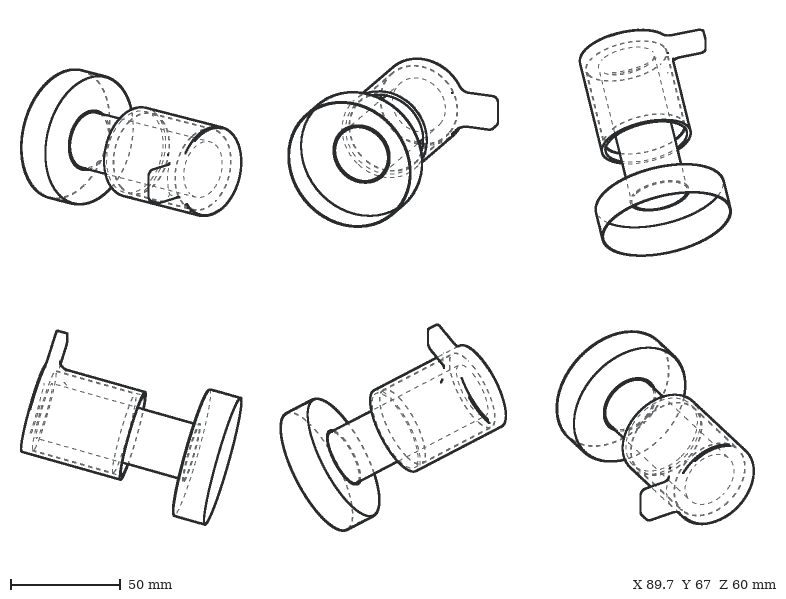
import cadquery as cq

TOTAL_LENGTH = 89.7

FLANGE_DIAMETER = 60.0
FLANGE_LENGTH = 15.0
FLANGE_CAVITY_DIAMETER = 59.2
FLANGE_WALL = (FLANGE_DIAMETER - FLANGE_CAVITY_DIAMETER) / 2
FLANGE_CAVITY_DEPTH = FLANGE_LENGTH - FLANGE_WALL
FLANGE_EDGE_RADIUS = 1.0
STEM_HOLE_DIAMETER = 27.45

KNOB_DIAMETER = 41.5
KNOB_LENGTH = 47.0
KNOB_BORE_DIAMETER = 38.0
KNOB_START = TOTAL_LENGTH - KNOB_LENGTH
KNOB_END_RADIUS = 0.5

LEVER_THICKNESS = 5.0
LEVER_WIDTH = 15.0
LEVER_REACH = 37.05
LEVER_CORNER_RADIUS = 3.0
LEVER_ROOT_RADIUS = 5.0
LEVER_RIM_RADIUS = 0.45
KNOB_END_WALL = LEVER_THICKNESS
KNOB_BORE_DEPTH = KNOB_LENGTH - KNOB_END_WALL

STEM_DIAMETER = 26.0
STEM_START = FLANGE_CAVITY_DEPTH
STEM_END = TOTAL_LENGTH - KNOB_END_WALL

LINER_SETBACK = 4.0
LINER_BORE_DIAMETER = 37.3
LINER_LENGTH = KNOB_BORE_DEPTH - LINER_SETBACK

TRIM_ALLOWANCE = 9.0

SELECT_MARGIN = 0.1


def cylinder(diameter, start, length):
    """Cylinder along X, running from X = start towards +X."""
    return cq.Workplane("YZ", origin=(start, 0, 0)).circle(diameter / 2).extrude(length)


def make_flange():
    body = cylinder(FLANGE_DIAMETER, 0, FLANGE_LENGTH).faces(">X").edges().fillet(FLANGE_EDGE_RADIUS)
    body = body.cut(cylinder(FLANGE_CAVITY_DIAMETER, 0, FLANGE_CAVITY_DEPTH))
    return body.cut(cylinder(STEM_HOLE_DIAMETER, 0, FLANGE_LENGTH))


def make_stem():
    return cylinder(STEM_DIAMETER, STEM_START, STEM_END - STEM_START)


def make_lever_blank():
    return (
        cq.Workplane("XY")
        .box(LEVER_THICKNESS + TRIM_ALLOWANCE, LEVER_REACH, LEVER_WIDTH, centered=(False, False, True))
        .translate((TOTAL_LENGTH - LEVER_THICKNESS, -LEVER_REACH, 0))
        .edges("|X and <Y")
        .fillet(LEVER_CORNER_RADIUS)
    )


def box_around(x, y, half_x, half_y, half_z):
    """Selector for the edges whose centers lie in a box centered on (x, y, 0)."""
    return cq.selectors.BoxSelector(
        (x - half_x, y - half_y, -half_z),
        (x + half_x, y + half_y, half_z),
    )


def blend_lever_root(body):
    """Blend the three sides of the lever into the round wall of the knob."""
    root = box_around(
        TOTAL_LENGTH, -KNOB_DIAMETER / 2, TRIM_ALLOWANCE - SELECT_MARGIN, LEVER_WIDTH / 4, LEVER_WIDTH
    )
    return body.edges(root).fillet(LEVER_ROOT_RADIUS)


def trim_to_length(body):
    """Remove everything beyond the end plane of the knob."""
    side = 2 * (LEVER_REACH + KNOB_DIAMETER)
    waste = cq.Workplane("YZ", origin=(TOTAL_LENGTH, 0, 0)).rect(side, side).extrude(2 * TRIM_ALLOWANCE)
    return body.cut(waste)


def round_lever_rim(body):
    """Round the rim of the lever's -X face, starting from its tip edge."""
    tip_edge = box_around(
        TOTAL_LENGTH - LEVER_THICKNESS, -LEVER_REACH, SELECT_MARGIN, SELECT_MARGIN, SELECT_MARGIN
    )
    return body.edges(tip_edge).fillet(LEVER_RIM_RADIUS)


def make_knob():
    body = cylinder(KNOB_DIAMETER, KNOB_START, KNOB_LENGTH + TRIM_ALLOWANCE).union(make_lever_blank())
    body = trim_to_length(blend_lever_root(body))
    body = body.faces(">X").edges().fillet(KNOB_END_RADIUS)
    body = round_lever_rim(body)
    return body.cut(cylinder(KNOB_BORE_DIAMETER, KNOB_START, KNOB_BORE_DEPTH))


def make_liner():
    start = KNOB_START + LINER_SETBACK
    outer = cylinder(KNOB_BORE_DIAMETER, start, LINER_LENGTH)
    return outer.cut(cylinder(LINER_BORE_DIAMETER, start, LINER_LENGTH))


flange = make_flange()
stem = make_stem()
knob = make_knob()
liner = make_liner()

result = cq.Compound.makeCompound([flange.val(), stem.val(), knob.val(), liner.val()])